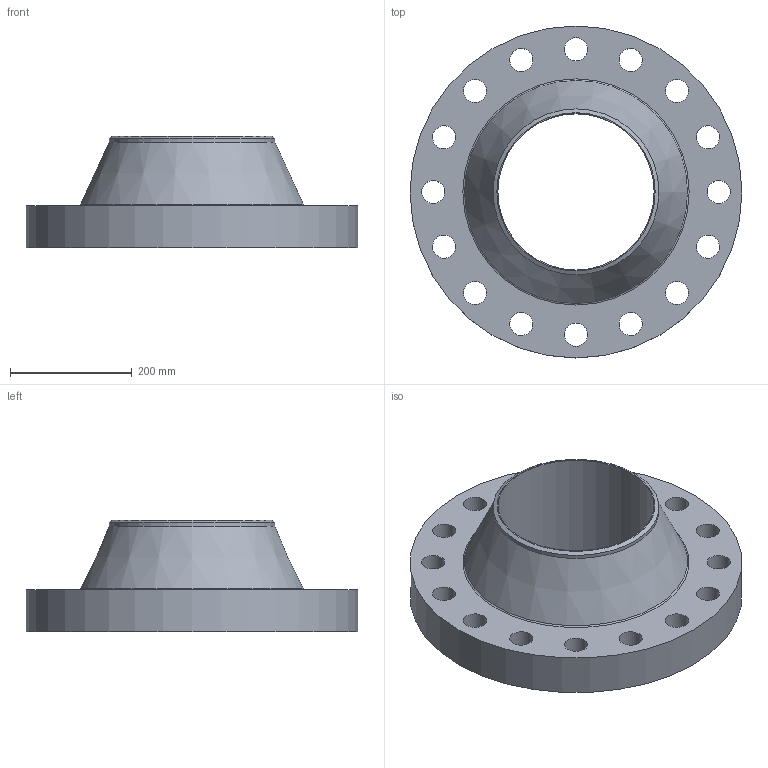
import cadquery as cq
import math

FLANGE_DIAMETER = 546.1
FLANGE_THICKNESS = 69.85
OVERALL_HEIGHT = 184.15

BORE_DIAMETER = 257.2
WELD_END_DIAMETER = 273.0
WELD_LAND = 1.6
BEVEL_ANGLE = 30.0
NECK_CYLINDER_BOTTOM = 10.0

HUB_BASE_DIAMETER = 368.3
HUB_FILLET_RADIUS = 3.0

BOLT_COUNT = 16
BOLT_CIRCLE_DIAMETER = 469.9
BOLT_HOLE_DIAMETER = 38.1


def revolved_body():
    """Flange ring, tapered hub and bevelled weld end as one revolved profile."""
    bore_radius = BORE_DIAMETER / 2
    weld_radius = WELD_END_DIAMETER / 2
    land_radius = bore_radius + WELD_LAND
    bevel_drop = (weld_radius - land_radius) * math.tan(math.radians(BEVEL_ANGLE))
    profile = (
        cq.Workplane("XZ")
        .moveTo(bore_radius, 0)
        .lineTo(FLANGE_DIAMETER / 2, 0)
        .lineTo(FLANGE_DIAMETER / 2, FLANGE_THICKNESS)
        .lineTo(HUB_BASE_DIAMETER / 2, FLANGE_THICKNESS)
        .lineTo(weld_radius, OVERALL_HEIGHT - NECK_CYLINDER_BOTTOM)
        .lineTo(weld_radius, OVERALL_HEIGHT - bevel_drop)
        .lineTo(land_radius, OVERALL_HEIGHT)
        .lineTo(bore_radius, OVERALL_HEIGHT)
        .close()
    )
    return profile.revolve(360, (0, 0, 0), (0, 1, 0))


def fillet_hub_base(body):
    """Round the inside corner where the hub meets the flange face."""
    hub_radius = HUB_BASE_DIAMETER / 2
    tolerance = 0.1
    corner = cq.selectors.BoxSelector(
        (-hub_radius - tolerance, -hub_radius - tolerance, FLANGE_THICKNESS - tolerance),
        (hub_radius + tolerance, hub_radius + tolerance, FLANGE_THICKNESS + tolerance),
        boundingbox=True,
    )
    return body.edges(corner).fillet(HUB_FILLET_RADIUS)


def bolt_holes():
    """Cylinders on the bolt circle, passing through the flange ring."""
    return (
        cq.Workplane("XY")
        .polarArray(BOLT_CIRCLE_DIAMETER / 2, 0, 360, BOLT_COUNT)
        .circle(BOLT_HOLE_DIAMETER / 2)
        .extrude(FLANGE_THICKNESS)
    )


result = fillet_hub_base(revolved_body()).cut(bolt_holes())